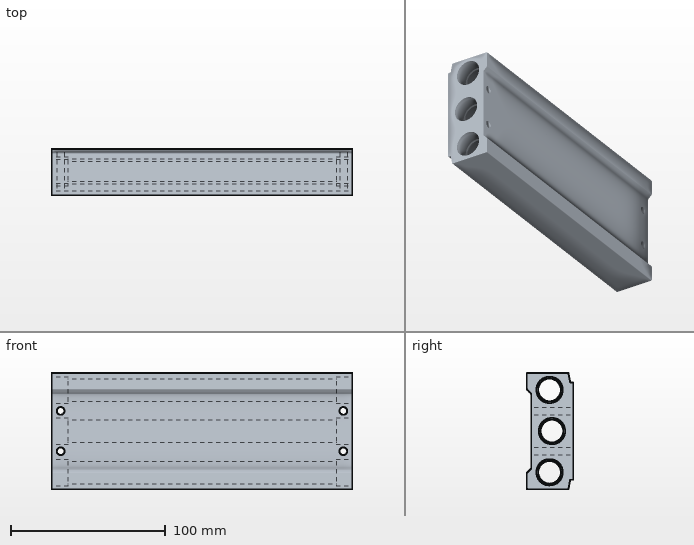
import cadquery as cq

length = 194.0
depth = 30.0
height = 75.0
edge_radius = 0.5

channel_depth = 3.0
channel_mouth = 54.0
channel_floor = 48.1

pad_height = 62.9
shoulder_inner_drop = 2.0
shoulder_outer_drop = 3.1

bore_diameter = 14.5
end_bore_diameter = 17.0
end_bore_depth = 10.3
outer_bore_offset = 26.5
outer_bore_y = 14.7
middle_bore_y = 16.3

cross_hole_diameter = 4.8
cross_hole_inset = 5.8
cross_hole_spacing = 26.0


def make_bar():
    """Extrude the end profile, symmetric about Z = 0, along X and round its edges."""
    upper_half = [
        (channel_depth, channel_floor / 2),
        (0, channel_mouth / 2),
        (0, height / 2),
        (depth - shoulder_outer_drop, height / 2),
        (depth - shoulder_inner_drop, pad_height / 2),
        (depth, pad_height / 2),
    ]
    lower_half = [(y, -z) for y, z in reversed(upper_half)]
    profile = cq.Workplane("YZ").polyline(upper_half + lower_half).close()
    return profile.extrude(length).edges("|X").fillet(edge_radius)


def lengthwise_bore(y, z):
    """Through bore along X with a wider counterbore at each end."""
    start = cq.Workplane("YZ").center(y, z)
    bore = start.circle(bore_diameter / 2).extrude(length)
    end_bore = start.circle(end_bore_diameter / 2).extrude(end_bore_depth)
    far_end_bore = end_bore.translate((length - end_bore_depth, 0, 0))
    return bore.union(end_bore).union(far_end_bore)


def cross_holes():
    """Four through holes along Y, two near each end."""
    return (
        cq.Workplane("XZ", origin=(length / 2, 0, 0))
        .rect(length - 2 * cross_hole_inset, cross_hole_spacing, forConstruction=True)
        .vertices()
        .circle(cross_hole_diameter / 2)
        .extrude(-depth)
    )


bore_centres = [
    (outer_bore_y, outer_bore_offset),
    (middle_bore_y, 0),
    (outer_bore_y, -outer_bore_offset),
]

result = make_bar()
for bore_y, bore_z in bore_centres:
    result = result.cut(lengthwise_bore(bore_y, bore_z))
result = result.cut(cross_holes())